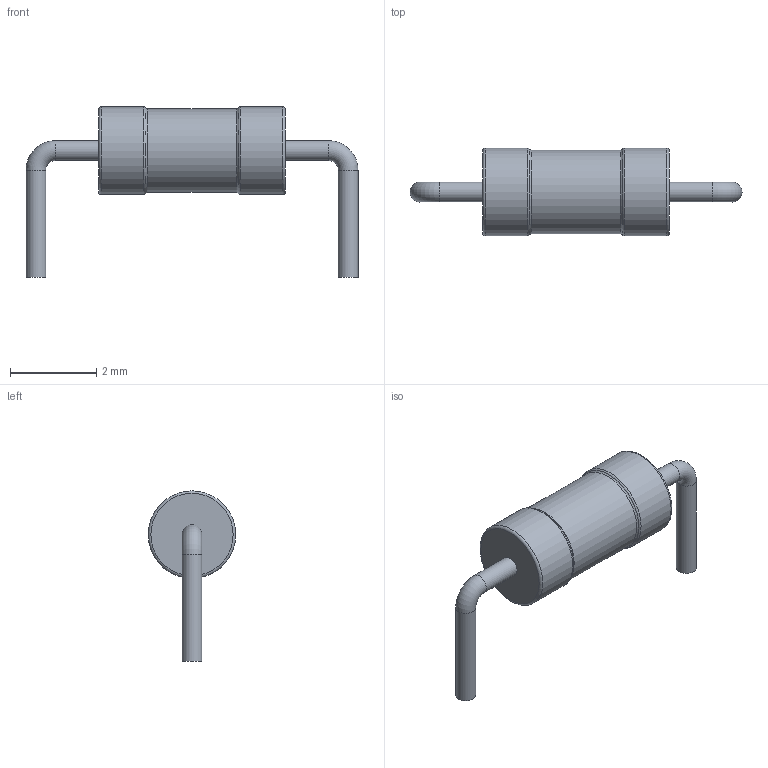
import cadquery as cq
import math

total_length = 7.7
total_height = 3.95
lead_dia = 0.46
cap_dia = 2.03
barrel_dia = 1.93

body_length = 4.33
cap_length = 1.14
blend_length = 0.095
rim_radius = 0.06

bend_radius = 0.45
lead_embed = 0.5

cap_radius = cap_dia / 2
barrel_radius = barrel_dia / 2
half_body = body_length / 2
half_barrel = half_body - cap_length
lead_x = (total_length - lead_dia) / 2
lead_bottom_z = cap_radius - total_height


def make_body():
    """Revolved body: two caps with rounded rims, each blending into the slimmer barrel.

    Each blend is a convex arc followed by an equal concave arc, meeting halfway down the step.
    """
    rim_inset = rim_radius * (1 - math.sqrt(0.5))
    rim_mid_x = half_body - rim_inset
    rim_mid_z = cap_radius - rim_inset
    blend_mid_x = half_barrel + blend_length / 2
    blend_mid_z = (cap_radius + barrel_radius) / 2
    blend_outer_x = half_barrel + blend_length
    profile = (
        cq.Workplane("XZ")
        .moveTo(-half_body, 0)
        .lineTo(-half_body, cap_radius - rim_radius)
        .threePointArc((-rim_mid_x, rim_mid_z), (-half_body + rim_radius, cap_radius))
        .lineTo(-blend_outer_x, cap_radius)
        .tangentArcPoint((-blend_mid_x, blend_mid_z), relative=False)
        .tangentArcPoint((-half_barrel, barrel_radius), relative=False)
        .lineTo(half_barrel, barrel_radius)
        .tangentArcPoint((blend_mid_x, blend_mid_z), relative=False)
        .tangentArcPoint((blend_outer_x, cap_radius), relative=False)
        .lineTo(half_body - rim_radius, cap_radius)
        .threePointArc((rim_mid_x, rim_mid_z), (half_body, cap_radius - rim_radius))
        .lineTo(half_body, 0)
        .close()
    )
    return profile.revolve(360, (0, 0, 0), (1, 0, 0))


def make_lead(side):
    """Bent wire on one end of the body; side is -1 or +1 along X."""
    leg_x = side * lead_x
    path = (
        cq.Workplane("XZ")
        .moveTo(leg_x, lead_bottom_z)
        .lineTo(leg_x, -bend_radius)
        .tangentArcPoint((side * (lead_x - bend_radius), 0), relative=False)
        .lineTo(side * (half_body - lead_embed), 0)
    )
    section = cq.Workplane("XY", origin=(leg_x, 0, lead_bottom_z)).circle(lead_dia / 2)
    return section.sweep(path)


result = make_body()
for lead_side in (-1, 1):
    result = result.union(make_lead(lead_side))